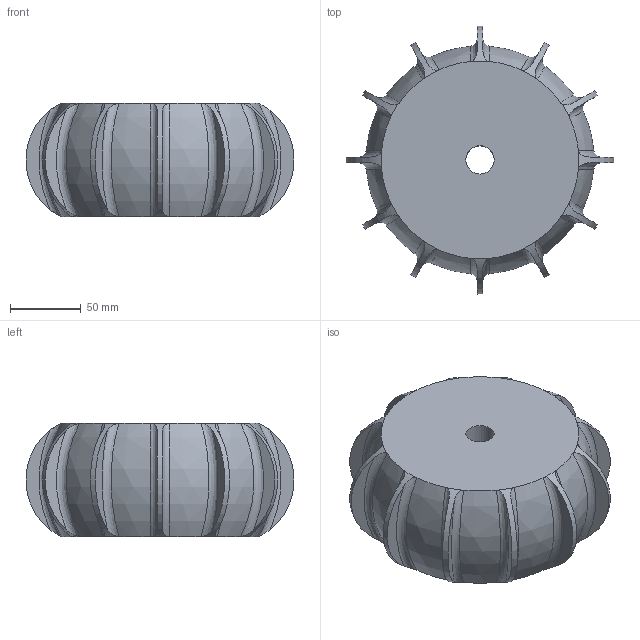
import cadquery as cq
import math

height = 80.0
end_diameter = 140.0
body_bulge = 11.0
bore_diameter = 20.0

fin_count = 12
fin_tip_diameter = 190.0
fin_thickness = 4.0
fin_root_fillet = 5.0

trim_allowance = 4.0

half_height = height / 2
end_radius = end_diameter / 2
body_radius = end_radius + body_bulge
fin_tip_radius = fin_tip_diameter / 2

bulge_arc_radius = (half_height**2 + body_bulge**2) / (2 * body_bulge)
raw_half_height = half_height + trim_allowance
raw_end_radius = body_radius - bulge_arc_radius + math.sqrt(bulge_arc_radius**2 - raw_half_height**2)


def rotate_about_axis(shape, step):
    """Turn a shape about Z by a whole number of fin spacings."""
    return shape.rotate((0, 0, 0), (0, 0, 1), step * 360 / fin_count)


def make_raw_body():
    """Over-long barrel with flat ends, revolved about Z."""
    half_section = (
        cq.Workplane("XZ")
        .moveTo(0, -raw_half_height)
        .lineTo(raw_end_radius, -raw_half_height)
        .threePointArc((body_radius, 0), (raw_end_radius, raw_half_height))
        .lineTo(0, raw_half_height)
        .close()
    )
    return half_section.revolve(360, (0, 0, 0), (0, 1, 0))


def make_raw_fin():
    """Untrimmed rectangular radial plate along +X, rooted inside the barrel."""
    root_radius = raw_end_radius / 2
    raw_tip_radius = fin_tip_radius + trim_allowance
    return (
        cq.Workplane("XY")
        .box(raw_tip_radius - root_radius, fin_thickness, 2 * raw_half_height, centered=(False, True, True))
        .translate((root_radius, 0, 0))
    )


def make_finned_body():
    """Over-long barrel with evenly spaced raw fins, all fin roots filleted."""
    finned = make_raw_body()
    fin = make_raw_fin()
    for step in range(fin_count):
        finned = finned.union(rotate_about_axis(fin, step))
    return finned.edges("%BSPLINE").fillet(fin_root_fillet)


def make_fin_outline():
    """Block along Y whose section gives two opposite fins their rounded edges and flat ends."""
    return (
        cq.Workplane("XZ")
        .moveTo(-end_radius, -half_height)
        .lineTo(end_radius, -half_height)
        .threePointArc((fin_tip_radius, 0), (end_radius, half_height))
        .lineTo(-end_radius, half_height)
        .threePointArc((-fin_tip_radius, 0), (-end_radius, -half_height))
        .close()
        .extrude(fin_tip_diameter, both=True)
    )


def trim_to_outline(solid):
    """Shape every pair of opposite fins and cut the ends to the final height."""
    outline = make_fin_outline()
    for step in range(fin_count // 2):
        solid = solid.intersect(rotate_about_axis(outline, step))
    return solid


def cut_bore(solid):
    """Round bore through the full height along Z."""
    bore = cq.Workplane("XY").circle(bore_diameter / 2).extrude(half_height, both=True)
    return solid.cut(bore)


result = cut_bore(trim_to_outline(make_finned_body()))